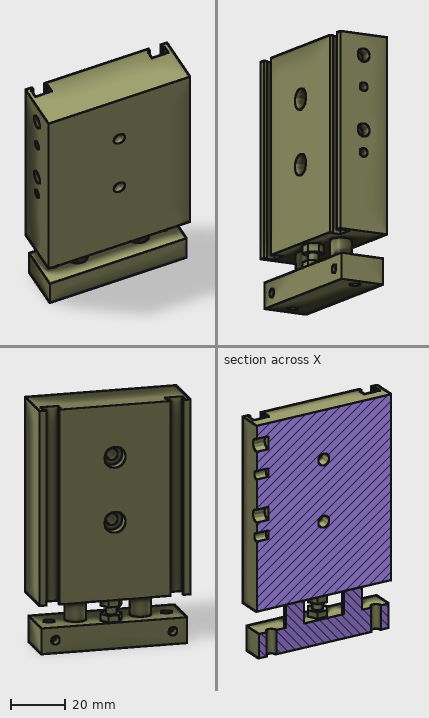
import cadquery as cq

total_height = 94.0
housing_x = 20.0
housing_y = 58.0
housing_height = 75.0
housing_bottom = total_height - housing_height
housing_face_x = -housing_x / 2

slot_offset = 23.9
slot_opening = 5.0
slot_inner_width = 6.7
slot_lip = 1.3
slot_depth = 5.0

mount_hole_diameter = 4.5
counterbore_diameter = 8.0
counterbore_depth = 4.4
mount_hole_heights = [49.0, 74.0]

port_diameter = 5.0
port_heights = [57.5, 86.0]
small_hole_diameter = 3.2
small_hole_heights = [49.0, 74.0]
side_hole_depth = 5.0

plate_x = 18.0
plate_y = 56.0
plate_height = 10.0
plate_hole_offset = 22.6
plate_cross_hole_diameter = 3.2
plate_cross_hole_depth = 5.0
plate_vertical_hole_diameter = 4.0
rod_diameter = 8.0
rod_offset = 12.5

bolt_x = -4.5
hex_across_corners = 8.1
bolt_shank_diameter = 4.0
bolt_head_height = 3.2
lock_nut_height = 2.5


def block(x_size, y_size, height, bottom):
    """Box centred on the Z axis, standing on the given height."""
    return cq.Workplane("XY", origin=(0, 0, bottom)).box(x_size, y_size, height, centered=(True, True, False))


def t_slot(y_center):
    """T-shaped cutter running the full height of the housing at its -X face."""
    mouth = cq.Workplane("XY", origin=(housing_face_x, y_center, housing_bottom)).box(
        slot_depth, slot_opening, housing_height, centered=(False, True, False)
    )
    inner = cq.Workplane("XY", origin=(housing_face_x + slot_lip, y_center, housing_bottom)).box(
        slot_depth - slot_lip, slot_inner_width, housing_height, centered=(False, True, False)
    )
    return mouth.union(inner)


def x_hole(diameter, depth, start_x, y, z):
    """Round cutter running along +X from start_x."""
    return cq.Workplane("YZ", origin=(start_x, y, z)).circle(diameter / 2).extrude(depth)


def side_hole(diameter, z):
    """Blind round cutter running along +Y from the -Y side of the housing."""
    return (
        cq.Workplane("XZ", origin=(0, -housing_y / 2, z))
        .circle(diameter / 2)
        .extrude(-side_hole_depth)
    )


def make_housing():
    body = block(housing_x, housing_y, housing_height, housing_bottom)
    for y in (-slot_offset, slot_offset):
        body = body.cut(t_slot(y))
    for z in mount_hole_heights:
        body = body.cut(x_hole(mount_hole_diameter, housing_x, housing_face_x, 0, z))
        body = body.cut(x_hole(counterbore_diameter, counterbore_depth, housing_face_x, 0, z))
    for z in port_heights:
        body = body.cut(side_hole(port_diameter, z))
    for z in small_hole_heights:
        body = body.cut(side_hole(small_hole_diameter, z))
    return body


def make_rod_plate():
    """End plate in one piece with its two rods, which reach the housing."""
    body = block(plate_x, plate_y, plate_height, 0)
    for y in (-plate_hole_offset, plate_hole_offset):
        cross_hole = x_hole(
            plate_cross_hole_diameter, plate_cross_hole_depth, -plate_x / 2, y, plate_height / 2
        )
        body = body.cut(cross_hole)
        vertical_hole = (
            cq.Workplane("XY", origin=(0, y, 0))
            .circle(plate_vertical_hole_diameter / 2)
            .extrude(plate_height)
        )
        body = body.cut(vertical_hole)
    rods = (
        cq.Workplane("XY", origin=(0, 0, plate_height))
        .pushPoints([(0, -rod_offset), (0, rod_offset)])
        .circle(rod_diameter / 2)
        .extrude(housing_bottom - plate_height)
    )
    return body.union(rods)


def make_stop_bolt():
    """Shank with a hexagonal lock nut on the plate and a hexagonal head at the housing."""
    base = cq.Workplane("XY", origin=(bolt_x, 0, plate_height))
    shank = base.circle(bolt_shank_diameter / 2).extrude(housing_bottom - plate_height)

    def hexagon(bottom, height):
        profile = cq.Workplane("XY", origin=(bolt_x, 0, bottom)).transformed(rotate=(0, 0, 90))
        return profile.polygon(6, hex_across_corners).extrude(height)

    lock_nut = hexagon(plate_height, lock_nut_height)
    head = hexagon(housing_bottom - bolt_head_height, bolt_head_height)
    return shank.union(lock_nut).union(head)


housing = make_housing()
rod_plate = make_rod_plate()
stop_bolt = make_stop_bolt()

result = cq.Compound.makeCompound([housing.val(), rod_plate.val(), stop_bolt.val()])